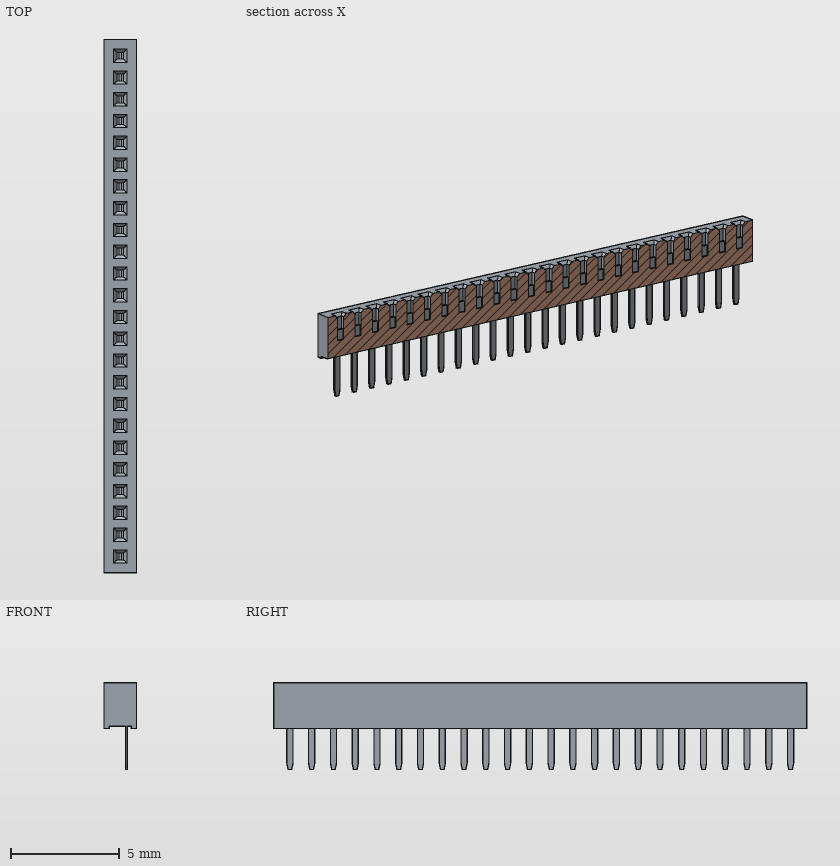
import cadquery as cq

body_length = 24.5
body_width = 1.5
body_height = 2.1
body_top = body_height / 2
body_bottom = -body_height / 2
relief_width = 1.0
relief_depth = 0.1

contact_count = 24
row_margin_pitches = 1.5
contact_pitch = body_length / (contact_count - 1 + row_margin_pitches)
contact_points = [
    (0, (index - (contact_count - 1) / 2) * contact_pitch) for index in range(contact_count)
]

well_size = 0.32
lead_in_depth = 0.15
mouth_size = well_size + 2 * lead_in_depth
well_depth = 0.74
slot_width = 0.1
slot_depth = 1.22

total_height = 4.0
tail_end = body_top - total_height
tail_root = body_bottom + relief_depth
tail_offset_x = 0.3
tail_thickness = 0.1
tail_width = 0.3
tip_width = 0.17
tip_length = 0.3


def make_housing():
    """Rectangular bar with a shallow relief along its underside."""
    bar = cq.Workplane("XY").box(body_width, body_length, body_height)
    relief = (
        cq.Workplane("XY", origin=(0, 0, body_bottom))
        .rect(relief_width, body_length)
        .extrude(relief_depth)
    )
    return bar.cut(relief)


def make_socket_cutter():
    """Space removed from the top face for one socket at Y = 0."""
    top_plane = cq.Workplane("XY", origin=(0, 0, body_top))
    lead_in = (
        top_plane.rect(mouth_size, mouth_size)
        .workplane(offset=-lead_in_depth)
        .rect(well_size, well_size)
        .loft(ruled=True)
    )
    well = top_plane.rect(well_size, well_size).extrude(-well_depth)
    slot = top_plane.rect(slot_width, well_size).extrude(-slot_depth)
    return lead_in.union(well).union(slot)


def make_tail():
    """One flat tail at Y = 0 with a tapered tip, rooted in the ceiling of the relief."""
    shoulder = tail_end + tip_length
    outline = [
        (-tail_width / 2, tail_root),
        (-tail_width / 2, shoulder),
        (-tip_width / 2, tail_end),
        (tip_width / 2, tail_end),
        (tail_width / 2, shoulder),
        (tail_width / 2, tail_root),
    ]
    return (
        cq.Workplane("YZ", origin=(tail_offset_x, 0, 0))
        .polyline(outline)
        .close()
        .extrude(tail_thickness / 2, both=True)
    )


def repeat_along_row(feature):
    """Copies of a feature at every contact position."""
    shape = feature.val()
    return cq.Workplane("XY").pushPoints(contact_points).eachpoint(lambda place: shape.moved(place))


result = make_housing().cut(repeat_along_row(make_socket_cutter()))
result = result.union(repeat_along_row(make_tail()))